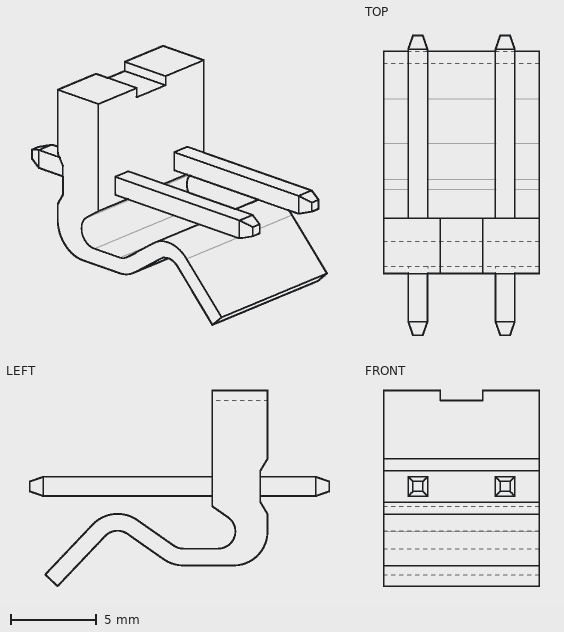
import cadquery as cq
import math


width = 9.07
height = 11.4
wall_front = 3.6
wall_thickness = 3.23
wall_back = wall_front + wall_thickness
notch_width = 2.46
notch_depth = 0.58

pin_length = 17.45
pin_size = 1.13
pin_tip_size = 0.58
pin_taper = 0.8
pin_pitch = 5.08
pin_z = 5.81

groove_depth = 0.42
groove_floor_half = 0.9
groove_mouth_half = 1.6

clip_thickness = 1.0
clip_bottom = 1.2
inner_radius = clip_thickness
outer_radius = inner_radius + clip_thickness
hook_throat = 1.88
lower_bend_y = 8.5
peak_z = 4.22
ramp_angle = 35.0
arm_angle = 46.5

bend_z = clip_bottom + outer_radius
heel_center = (wall_front + outer_radius, bend_z)
hook_center = (wall_front + hook_throat + inner_radius, bend_z)
ramp = math.radians(ramp_angle)
ramp_rise = peak_z - clip_bottom - clip_thickness
bend_radius_sum = inner_radius + outer_radius
ramp_length = (ramp_rise - bend_radius_sum * (1 - math.cos(ramp))) / math.sin(ramp)
peak_y = lower_bend_y + bend_radius_sum * math.sin(ramp) + ramp_length * math.cos(ramp)
lower_center = (lower_bend_y, bend_z)
peak_center = (peak_y, peak_z - outer_radius)


def on_circle(center, radius, angle):
    """Point on a bend; angle in degrees from +Y towards +Z."""
    a = math.radians(angle)
    return (center[0] + radius * math.cos(a), center[1] + radius * math.sin(a))


def bend(sketch, center, radius, start, end):
    """Line to the start of a bend, then its arc."""
    sketch = sketch.lineTo(*on_circle(center, radius, start))
    middle = on_circle(center, radius, (start + end) / 2)
    return sketch.threePointArc(middle, on_circle(center, radius, end))


def make_housing():
    """Wall and spring clip as one extruded side outline."""
    ramp_normal = 90 + ramp_angle
    arm_normal = 90 - arm_angle
    arm = math.radians(arm_angle)
    tip_rise = clip_thickness * math.cos(arm)

    under_start = on_circle(peak_center, inner_radius, arm_normal)
    tip_lower = (under_start[0] + under_start[1] / math.tan(arm), 0)
    tip_upper = (tip_lower[0] + clip_thickness * math.sin(arm), tip_rise)

    slope_start = on_circle(hook_center, inner_radius, ramp_normal)
    slope_end_z = slope_start[1] + (wall_back - slope_start[0]) * math.tan(ramp)

    groove_floor = wall_front + groove_depth
    outline = (
        cq.Workplane("YZ")
        .moveTo(wall_back, height)
        .lineTo(wall_front, height)
        .lineTo(wall_front, pin_z + groove_mouth_half)
        .lineTo(groove_floor, pin_z + groove_floor_half)
        .lineTo(groove_floor, pin_z - groove_floor_half)
        .lineTo(wall_front, pin_z - groove_mouth_half)
    )
    outline = bend(outline, heel_center, outer_radius, 180, 270)
    outline = bend(outline, lower_center, outer_radius, 270, 270 + ramp_angle)
    outline = bend(outline, peak_center, inner_radius, ramp_normal, arm_normal)
    outline = outline.lineTo(*tip_lower).lineTo(*tip_upper)
    outline = bend(outline, peak_center, outer_radius, arm_normal, ramp_normal)
    outline = bend(outline, lower_center, inner_radius, 270 + ramp_angle, 270)
    outline = bend(outline, hook_center, inner_radius, 270, ramp_normal)
    outline = outline.lineTo(wall_back, slope_end_z).close()
    return outline.extrude(width / 2, both=True)


def make_notch():
    """Centred notch through the top edge of the wall."""
    center_y = wall_front + wall_thickness / 2
    center_z = height - notch_depth / 2
    notch = cq.Workplane("XY").box(notch_width, wall_thickness, notch_depth)
    return notch.translate((0, center_y, center_z))


def make_pin(x):
    """Square pin along Y with both ends tapered."""
    shank = cq.Workplane("XY").box(pin_size, pin_length - 2 * pin_taper, pin_size)
    taper_angle = math.degrees(math.atan2((pin_size - pin_tip_size) / 2, pin_taper))
    front = shank.faces("<Y").workplane().rect(pin_size, pin_size)
    front = front.extrude(pin_taper, taper=taper_angle, combine=False)
    pin = shank.union(front).union(front.mirror("XZ"))
    return pin.translate((x, pin_length / 2, pin_z))


result = make_housing().cut(make_notch())
for pin_x in (-pin_pitch / 2, pin_pitch / 2):
    result = result.union(make_pin(pin_x))